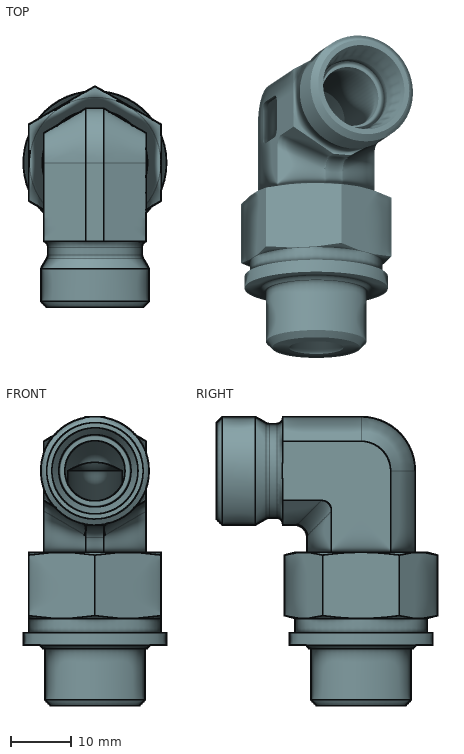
import cadquery as cq
import math


ARM_HALF_WIDTH = 8.5
ARM_HALF_HEIGHT = 9.0
CHEEK_HALF_HEIGHT = ARM_HALF_WIDTH * math.tan(math.radians(30))
CREST_HALF_WIDTH = 1.5
INNER_CORNER_RADIUS = 2.0

SPIGOT_END = 24.0
SPIGOT_RADIUS = 18.0 / 2
SPIGOT_CHAMFER = 1.0
SPIGOT_THREAD_START = 17.55
NECK_RADIUS = 15.7 / 2
NECK_START = 14.0
NECK_FILLET = 1.0
RUNOUT_ANGLE = math.radians(30)
RUNOUT_FILLET = 1.2

PIPE_BORE_RADIUS = 10.0 / 2
TUBE_RADIUS = 12.0 / 2
TUBE_STOP_DEPTH = 7.0
CONE_MOUTH_RADIUS = 14.3 / 2
CONE_HALF_ANGLE = math.radians(12)
STEM_BORE_RADIUS = 9.0 / 2
DRILL_HALF_ANGLE = math.radians(60)
SEAM_TURN = 45

POCKET_SIZE = 7.1
POCKET_CORNER_RADIUS = 1.2
POCKET_DEPTH = 0.8
POCKET_OFFSET = 1.0

STEM_BOTTOM = -39.0
STEM_RADIUS = 16.66 / 2
STEM_CHAMFER = 1.0
NUT_TOP = -13.5
NUT_HEX_HEIGHT = 11.0
NUT_ACROSS_FLATS = 22.0
NUT_FACE_RADIUS = 21.8 / 2
NUT_CHAMFER_ANGLE = math.radians(15)
COLLAR_HEIGHT = 2.35
NUT_COUNTERSINK_RADIUS = 17.5 / 2
WASHER_RADIUS = 23.8 / 2
WASHER_THICKNESS = 2.05
LIP_HEIGHT = 0.58
LIP_TOP_RADIUS = 18.34 / 2
LIP_BOTTOM_RADIUS = 17.28 / 2

NUT_HEX_BOTTOM = NUT_TOP - NUT_HEX_HEIGHT
COLLAR_BOTTOM = NUT_HEX_BOTTOM - COLLAR_HEIGHT
WASHER_BOTTOM = COLLAR_BOTTOM - WASHER_THICKNESS
LIP_BOTTOM = WASHER_BOTTOM - LIP_HEIGHT

UPPER_ARM_OUTLINE = [
    (ARM_HALF_WIDTH, CHEEK_HALF_HEIGHT),
    (CREST_HALF_WIDTH, ARM_HALF_HEIGHT),
    (-CREST_HALF_WIDTH, ARM_HALF_HEIGHT),
    (-ARM_HALF_WIDTH, CHEEK_HALF_HEIGHT),
]


def revolve_about_z(outline):
    """Full turn of a (radius, z) outline about the stem axis."""
    return cq.Workplane("XZ").polyline(outline).close().revolve(360, (0, 0), (0, 1))


def revolve_about_y(wire):
    """Full turn of a (radius, y) outline about the pipe axis."""
    return wire.close().revolve(360, (0, 0), (0, 1))


def make_arm(plane, length):
    lower_outline = [(-x, -h) for x, h in UPPER_ARM_OUTLINE]
    return cq.Workplane(plane).polyline(UPPER_ARM_OUTLINE + lower_outline).close().extrude(length)


def make_arms():
    pipe_arm = make_arm("XZ", NECK_START)
    stem_arm = make_arm("XY", NUT_TOP)
    bend_outline = [(ARM_HALF_WIDTH, 0)] + UPPER_ARM_OUTLINE + [(-ARM_HALF_WIDTH, 0)]
    outer_bend = (
        cq.Workplane("XZ").polyline(bend_outline).close().revolve(90, (0, 0), (-1, 0))
    )
    arms = pipe_arm.union(stem_arm).union(outer_bend)
    margin = 0.1
    inner_corner = cq.selectors.BoxSelector(
        (-ARM_HALF_WIDTH, -ARM_HALF_HEIGHT - margin, -ARM_HALF_HEIGHT - margin),
        (ARM_HALF_WIDTH, -CHEEK_HALF_HEIGHT, -CHEEK_HALF_HEIGHT),
    )
    mitre_edges = cq.selectors.PerpendicularDirSelector(cq.Vector(0, 1, -1))
    return arms.edges(mitre_edges).edges(inner_corner).fillet(INNER_CORNER_RADIUS)


def make_neck_relief():
    """Turned ring that rounds the end of the pipe arm down to the neck."""
    clearance_radius = 2 * ARM_HALF_WIDTH
    face_y = -(NECK_START - NECK_FILLET)
    arc_offset = NECK_FILLET * (1 - math.sqrt(0.5))
    return revolve_about_y(
        cq.Workplane("XY")
        .moveTo(NECK_RADIUS, -NECK_START)
        .threePointArc(
            (NECK_RADIUS + arc_offset, face_y - arc_offset),
            (NECK_RADIUS + NECK_FILLET, face_y),
        )
        .lineTo(clearance_radius, face_y)
        .lineTo(clearance_radius, -NECK_START)
    )


def make_spigot():
    root_radius = NECK_RADIUS + RUNOUT_FILLET * (1 - math.cos(RUNOUT_ANGLE))
    root_y = -SPIGOT_THREAD_START + (SPIGOT_RADIUS - root_radius) / math.tan(RUNOUT_ANGLE)
    fillet_start_y = root_y + RUNOUT_FILLET * math.sin(RUNOUT_ANGLE)
    half_angle = RUNOUT_ANGLE / 2
    fillet_middle = (
        NECK_RADIUS + RUNOUT_FILLET * (1 - math.cos(half_angle)),
        fillet_start_y - RUNOUT_FILLET * math.sin(half_angle),
    )
    return revolve_about_y(
        cq.Workplane("XY")
        .moveTo(0, -NECK_START)
        .lineTo(NECK_RADIUS, -NECK_START)
        .lineTo(NECK_RADIUS, fillet_start_y)
        .threePointArc(fillet_middle, (root_radius, root_y))
        .lineTo(SPIGOT_RADIUS, -SPIGOT_THREAD_START)
        .lineTo(SPIGOT_RADIUS, -SPIGOT_END + SPIGOT_CHAMFER)
        .lineTo(SPIGOT_RADIUS - SPIGOT_CHAMFER, -SPIGOT_END)
        .lineTo(0, -SPIGOT_END)
    )


def make_stem():
    return revolve_about_z([
        (0, NUT_TOP),
        (STEM_RADIUS, NUT_TOP),
        (STEM_RADIUS, STEM_BOTTOM + STEM_CHAMFER),
        (STEM_RADIUS - STEM_CHAMFER, STEM_BOTTOM),
        (0, STEM_BOTTOM),
    ])


def make_pipe_bore():
    """24 degree cone, tube socket and drilled bore with its pointed end."""
    cone_depth = (CONE_MOUTH_RADIUS - TUBE_RADIUS) / math.tan(CONE_HALF_ANGLE)
    tube_stop_y = -SPIGOT_END + TUBE_STOP_DEPTH
    return revolve_about_y(
        cq.Workplane("XY").polyline([
            (0, -SPIGOT_END),
            (CONE_MOUTH_RADIUS, -SPIGOT_END),
            (TUBE_RADIUS, -SPIGOT_END + cone_depth),
            (TUBE_RADIUS, tube_stop_y),
            (PIPE_BORE_RADIUS, tube_stop_y),
            (PIPE_BORE_RADIUS, 0),
            (0, PIPE_BORE_RADIUS / math.tan(DRILL_HALF_ANGLE)),
        ])
    )


def make_stem_bore():
    """Drilled bore, turned about its axis so its seam line stays clear of the pipe bore."""
    return revolve_about_z([
        (0, STEM_BOTTOM),
        (STEM_BORE_RADIUS, STEM_BOTTOM),
        (STEM_BORE_RADIUS, 0),
        (0, STEM_BORE_RADIUS / math.tan(DRILL_HALF_ANGLE)),
    ]).rotate((0, 0, 0), (0, 0, 1), SEAM_TURN)


def make_badge_pocket():
    return (
        cq.Workplane("XY")
        .box(POCKET_DEPTH, POCKET_SIZE, POCKET_SIZE, centered=(False, True, True))
        .edges("|X")
        .fillet(POCKET_CORNER_RADIUS)
        .translate((-ARM_HALF_WIDTH, -POCKET_OFFSET, -POCKET_OFFSET))
    )


def make_elbow():
    return (
        make_arms()
        .cut(make_neck_relief())
        .union(make_spigot())
        .union(make_stem())
        .cut(make_pipe_bore().union(make_stem_bore()))
        .cut(make_badge_pocket())
    )


def make_nut():
    corner_radius = NUT_ACROSS_FLATS / 2 / math.cos(math.pi / 6)
    chamfer_drop = (corner_radius - NUT_FACE_RADIUS) * math.tan(NUT_CHAMFER_ANGLE)
    hexagon = (
        cq.Workplane("XY")
        .workplane(offset=NUT_HEX_BOTTOM)
        .polygon(6, 2 * corner_radius)
        .extrude(NUT_HEX_HEIGHT)
        .rotate((0, 0, 0), (0, 0, 1), 30)
    )
    chamfered_blank = revolve_about_z([
        (0, NUT_TOP),
        (NUT_FACE_RADIUS, NUT_TOP),
        (corner_radius, NUT_TOP - chamfer_drop),
        (corner_radius, NUT_HEX_BOTTOM + chamfer_drop),
        (NUT_FACE_RADIUS, NUT_HEX_BOTTOM),
        (0, NUT_HEX_BOTTOM),
    ])
    collar = (
        cq.Workplane("XY")
        .workplane(offset=COLLAR_BOTTOM)
        .circle(NUT_ACROSS_FLATS / 2)
        .extrude(COLLAR_HEIGHT)
    )
    countersink_depth = NUT_COUNTERSINK_RADIUS - STEM_RADIUS
    bore = revolve_about_z([
        (0, NUT_TOP),
        (NUT_COUNTERSINK_RADIUS, NUT_TOP),
        (STEM_RADIUS, NUT_TOP - countersink_depth),
        (STEM_RADIUS, COLLAR_BOTTOM),
        (0, COLLAR_BOTTOM),
    ])
    return hexagon.intersect(chamfered_blank).union(collar).cut(bore)


def make_washer():
    """Flat ring with a short tapered lip around the stem underneath."""
    return revolve_about_z([
        (STEM_RADIUS, COLLAR_BOTTOM),
        (WASHER_RADIUS, COLLAR_BOTTOM),
        (WASHER_RADIUS, WASHER_BOTTOM),
        (LIP_TOP_RADIUS, WASHER_BOTTOM),
        (LIP_BOTTOM_RADIUS, LIP_BOTTOM),
        (STEM_RADIUS, LIP_BOTTOM),
    ])


elbow = make_elbow()
nut = make_nut()
washer = make_washer()

result = cq.Compound.makeCompound([elbow.val(), nut.val(), washer.val()])